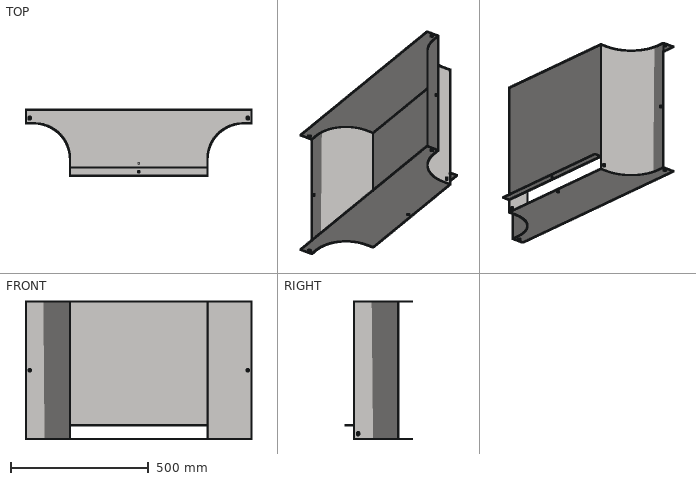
import cadquery as cq

width = 820.0
height = 500.0
sheet = 1.0
flange = 30.0
cheek = 31.0
lip_depth = 29.5
ear_depth = 50.0
cove_radius = 129.5
window_height = 50.0

small_hole = 5.0
large_hole = 7.0
slot_length = 10.0
end_inset = 14.0
ear_hole_setback = 30.0
cheek_slot_height = 20.0

half_width = width / 2
half_body = half_width - flange - cove_radius
cove_front = -ear_depth - cove_radius
front = cove_front - cheek


def tee_outline(inset):
    """Closed tee profile with its side and front faces moved inward by inset."""
    radius = cove_radius + inset
    cove_end = half_width - flange
    body = half_body - inset
    ear_front = inset - ear_depth
    mid = radius * 0.5 ** 0.5
    return (
        cq.Workplane("XY")
        .moveTo(-half_width, 0)
        .lineTo(half_width, 0)
        .lineTo(half_width, ear_front)
        .lineTo(cove_end, ear_front)
        .threePointArc((cove_end - mid, cove_front + mid), (body, cove_front))
        .lineTo(body, front + inset)
        .lineTo(-body, front + inset)
        .lineTo(-body, cove_front)
        .threePointArc((mid - cove_end, cove_front + mid), (-cove_end, ear_front))
        .lineTo(-half_width, ear_front)
        .close()
    )


def drill(plane, u, v, diameter, start, depth):
    """Round cutter along the plane normal, from start over the given depth."""
    return (
        cq.Workplane(plane)
        .workplane(offset=start)
        .center(u, v)
        .circle(diameter / 2)
        .extrude(depth)
    )


cavity = tee_outline(sheet).extrude(height - 2 * sheet).translate((0, 0, sheet))
shell = tee_outline(0).extrude(height).cut(cavity)

window = cq.Workplane("XY").box(
    2 * (half_body - sheet), 2 * sheet, window_height - sheet, centered=(True, True, False)
).translate((0, front, sheet))
shell = shell.cut(window)

lip = cq.Workplane("XY").box(
    2 * half_body, lip_depth + sheet, sheet, centered=(True, False, False)
).translate((0, front - lip_depth, window_height))
shell = shell.union(lip)

ear_slots = (
    cq.Workplane("XY")
    .pushPoints([(side * (half_width - end_inset), -ear_hole_setback) for side in (-1, 1)])
    .slot2D(slot_length, large_hole, 90)
    .extrude(height)
)
shell = shell.cut(ear_slots)

for side in (-1, 1):
    shell = shell.cut(
        drill("XZ", side * (half_width - end_inset), height / 2, large_hole, 0, ear_depth)
    )

cheek_slot = (
    cq.Workplane("YZ", origin=(-half_width, front + cheek / 2, cheek_slot_height))
    .slot2D(slot_length, large_hole, 90)
    .extrude(width)
)
shell = shell.cut(cheek_slot)

shell = shell.cut(drill("XY", 0, front - lip_depth / 2, small_hole, window_height, sheet))
shell = shell.cut(drill("XY", 0, front + cheek / 2, large_hole, 0, sheet))

result = shell